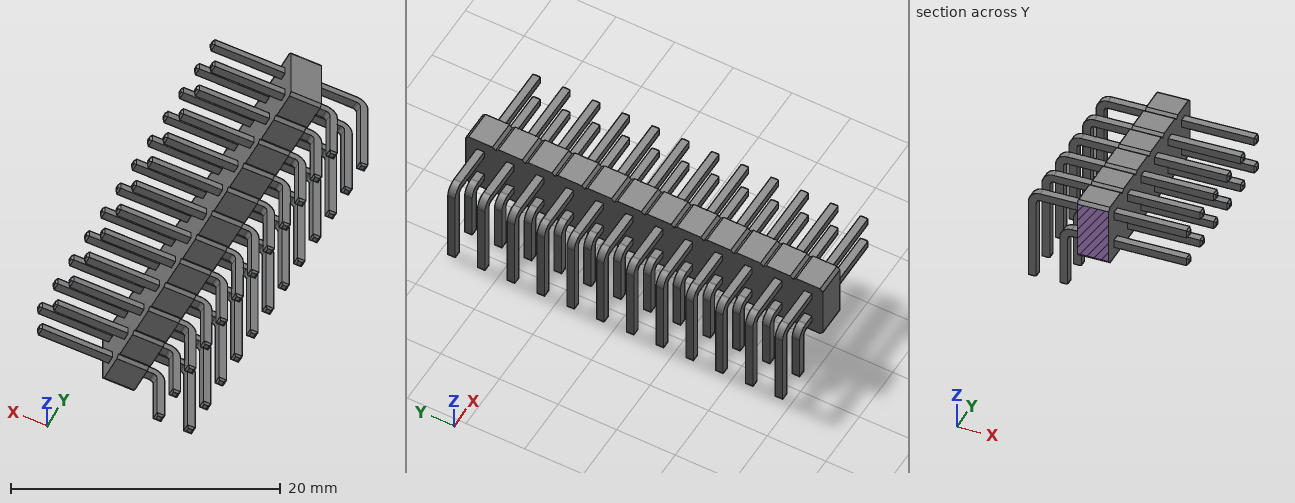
import cadquery as cq

pitch = 2.54
positions = 12
rows = 2

body_depth = pitch
body_length = positions * pitch
body_height = rows * pitch
body_chamfer = 0.25

pin_width = 0.64
bend_inner_radius = pin_width / 2
bend_outer_radius = bend_inner_radius + pin_width
mating_length = 6.0
tail_drop = 3.64
tail_offset = 1.5
tip_chamfer = 0.15


def body_segment(y_center):
    """One chamfered block of the body, holding one pin of each row."""
    block = cq.Workplane("XY").box(body_depth, pitch, body_height, centered=(False, True, False))
    return block.edges("|X").chamfer(body_chamfer).translate((0, y_center, 0))


def bent_pin(row):
    """An L-shaped square pin, centred on Y = 0; row 0 is the lower row."""
    top = (row + 0.5) * pitch + pin_width / 2
    underside = top - pin_width
    outer_x = -(tail_offset + row * pitch) - pin_width / 2
    inner_x = outer_x + pin_width
    tip_x = body_depth + mating_length
    bend_x = outer_x + bend_outer_radius
    bend_z = top - bend_outer_radius

    profile = (
        cq.Workplane("XZ")
        .moveTo(outer_x, -tail_drop)
        .lineTo(outer_x, bend_z)
        .radiusArc((bend_x, top), bend_outer_radius)
        .lineTo(tip_x, top)
        .lineTo(tip_x, underside)
        .lineTo(bend_x, underside)
        .radiusArc((inner_x, bend_z), -bend_inner_radius)
        .lineTo(inner_x, -tail_drop)
        .close()
    )
    pin = profile.extrude(pin_width / 2, both=True)
    return pin.faces(">X or <Z").edges().chamfer(tip_chamfer)


row_pins = [bent_pin(row) for row in range(rows)]
first_y = (pitch - body_length) / 2

result = cq.Workplane("XY")
for index in range(positions):
    y_center = first_y + index * pitch
    result = result.union(body_segment(y_center))
    for pin in row_pins:
        result = result.union(pin.translate((0, y_center, 0)))